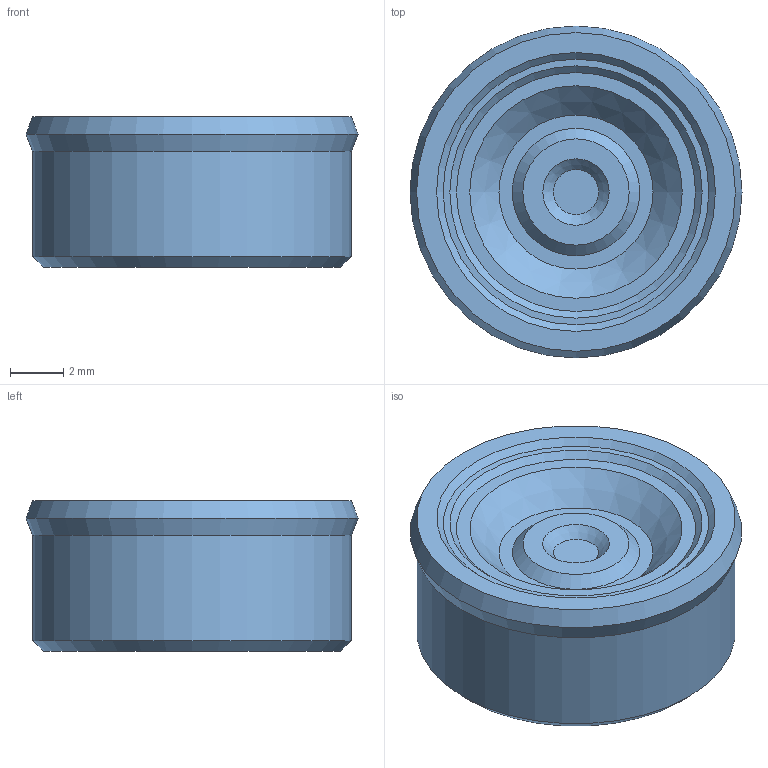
import cadquery as cq

total_height = 5.66
bottom_chamfer = 0.4
rim_flare_height = 0.65
rim_ridge_z = total_height - rim_flare_height
rim_base_z = rim_ridge_z - rim_flare_height

body_radius = 6.0
rim_flare = 0.25
ridge_radius = body_radius + rim_flare

recess_radius = 5.25
bevel = 0.25
upper_ledge_width = 0.25
upper_ledge_z = total_height - bevel
lower_ledge_z = upper_ledge_z - bevel
upper_ledge_radius = recess_radius - bevel
lower_bevel_radius = upper_ledge_radius - upper_ledge_width
lower_ledge_radius = lower_bevel_radius - bevel

bowl_radius = 4.0
floor_radius = 2.9
floor_depth = 1.6
floor_z = total_height - floor_depth

boss_height = 0.4
boss_bevel = 0.4
boss_base_radius = 2.4
boss_top_radius = boss_base_radius - boss_bevel
boss_top_z = floor_z + boss_height
dimple_radius = 1.25
dimple_floor_radius = dimple_radius - boss_bevel


def revolve_profile(profile):
    """Close a half profile drawn in the XZ plane and turn it about the Z axis."""
    return profile.close().revolve(360, (0, 0, 0), (0, 1, 0))


def make_body():
    """Cylinder with a chamfered foot and a double-cone rim."""
    return revolve_profile(
        cq.Workplane("XZ")
        .lineTo(body_radius - bottom_chamfer, 0)
        .lineTo(body_radius, bottom_chamfer)
        .lineTo(body_radius, rim_base_z)
        .lineTo(ridge_radius, rim_ridge_z)
        .lineTo(body_radius, total_height)
        .lineTo(0, total_height)
    )


def make_recess():
    """Volume removed from the top, leaving the ledges, bowl, boss and dimple."""
    return revolve_profile(
        cq.Workplane("XZ")
        .moveTo(0, total_height)
        .lineTo(recess_radius, total_height)
        .lineTo(upper_ledge_radius, upper_ledge_z)
        .lineTo(lower_bevel_radius, upper_ledge_z)
        .lineTo(lower_ledge_radius, lower_ledge_z)
        .lineTo(bowl_radius, lower_ledge_z)
        .lineTo(floor_radius, floor_z)
        .lineTo(boss_base_radius, floor_z)
        .lineTo(boss_top_radius, boss_top_z)
        .lineTo(dimple_radius, boss_top_z)
        .lineTo(dimple_floor_radius, floor_z)
        .lineTo(0, floor_z)
    )


result = make_body().cut(make_recess())